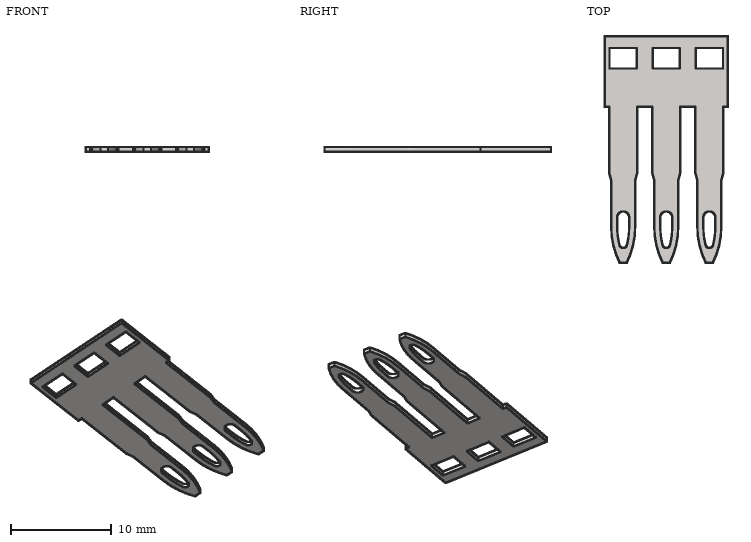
import cadquery as cq
import math

LENGTH = 22.6
WIDTH = 12.3
THICKNESS = 0.5
BACK = LENGTH / 2
HEAD_LENGTH = 7.05

PITCH = 4.3
PRONG_CENTERS = (-PITCH, 0, PITCH)
WINDOW_WIDTH = 2.7
WINDOW_LENGTH = 2.01
WINDOW_FROM_BACK = 1.2

ROOT_WIDTH = 2.82
SHANK_WIDTH = 2.42
ROOT_HALF = ROOT_WIDTH / 2
SHANK_HALF = SHANK_WIDTH / 2
TIP_HALF = 0.36
SHOULDER_START_Y = BACK - 13.63
SHOULDER_END_Y = BACK - 14.37
SHOULDER_RADIUS = 0.8
SELECT_MARGIN = 0.23
NOSE_START_Y = BACK - 19.0
TIP_Y = BACK - LENGTH

NOSE_LENGTH = NOSE_START_Y - TIP_Y
NOSE_INSET = SHANK_HALF - TIP_HALF
NOSE_RADIUS = (NOSE_LENGTH**2 + NOSE_INSET**2) / (2 * NOSE_INSET)

EYE_HALF = 0.59
EYE_TOP_Y = BACK - 17.5
EYE_BOTTOM_Y = BACK - 21.1
EYE_FLANK_RADIUS = NOSE_RADIUS - (SHANK_HALF - EYE_HALF)


def flank_half_width(half_width, radius, y):
    """Half width at y of a flank that curves inward from the nose start."""
    drop = NOSE_START_Y - y
    return half_width - radius + math.sqrt(radius**2 - drop**2)


def prong(x):
    middle_y = (NOSE_START_Y + TIP_Y) / 2
    middle_half = flank_half_width(SHANK_HALF, NOSE_RADIUS, middle_y)
    body = (
        cq.Workplane("XY")
        .moveTo(x - ROOT_HALF, BACK - HEAD_LENGTH)
        .lineTo(x - ROOT_HALF, SHOULDER_START_Y)
        .lineTo(x - SHANK_HALF, SHOULDER_END_Y)
        .lineTo(x - SHANK_HALF, NOSE_START_Y)
        .threePointArc((x - middle_half, middle_y), (x - TIP_HALF, TIP_Y))
        .lineTo(x + TIP_HALF, TIP_Y)
        .threePointArc((x + middle_half, middle_y), (x + SHANK_HALF, NOSE_START_Y))
        .lineTo(x + SHANK_HALF, SHOULDER_END_Y)
        .lineTo(x + ROOT_HALF, SHOULDER_START_Y)
        .lineTo(x + ROOT_HALF, BACK - HEAD_LENGTH)
        .close()
        .extrude(THICKNESS)
    )
    shoulder_corners = cq.selectors.BoxSelector(
        (x - WIDTH, SHOULDER_START_Y - SELECT_MARGIN, -SELECT_MARGIN),
        (x + WIDTH, SHOULDER_START_Y + SELECT_MARGIN, THICKNESS + SELECT_MARGIN),
    )
    return body.edges("|Z").edges(shoulder_corners).fillet(SHOULDER_RADIUS)


def eye(x):
    depth = NOSE_START_Y - EYE_BOTTOM_Y
    center_offset = EYE_FLANK_RADIUS - EYE_HALF
    linear = EYE_FLANK_RADIUS - depth
    constant = EYE_FLANK_RADIUS**2 - center_offset**2 - depth**2
    end_radius = constant / (2 * linear)
    end_center_y = EYE_BOTTOM_Y + end_radius

    tangent_angle = math.atan2(NOSE_START_Y - end_center_y, center_offset)
    end_half = end_radius * math.cos(tangent_angle)
    end_y = end_center_y - end_radius * math.sin(tangent_angle)
    middle_y = (NOSE_START_Y + end_y) / 2
    middle_half = flank_half_width(EYE_HALF, EYE_FLANK_RADIUS, middle_y)
    top_center_y = EYE_TOP_Y - EYE_HALF
    return (
        cq.Workplane("XY")
        .moveTo(x - EYE_HALF, top_center_y)
        .lineTo(x - EYE_HALF, NOSE_START_Y)
        .threePointArc((x - middle_half, middle_y), (x - end_half, end_y))
        .threePointArc((x, EYE_BOTTOM_Y), (x + end_half, end_y))
        .threePointArc((x + middle_half, middle_y), (x + EYE_HALF, NOSE_START_Y))
        .lineTo(x + EYE_HALF, top_center_y)
        .threePointArc((x, EYE_TOP_Y), (x - EYE_HALF, top_center_y))
        .close()
        .extrude(THICKNESS)
    )


def window(x):
    center_y = BACK - WINDOW_FROM_BACK - WINDOW_LENGTH / 2
    return (
        cq.Workplane("XY")
        .center(x, center_y)
        .rect(WINDOW_WIDTH, WINDOW_LENGTH)
        .extrude(THICKNESS)
    )


result = (
    cq.Workplane("XY")
    .center(0, BACK - HEAD_LENGTH / 2)
    .rect(WIDTH, HEAD_LENGTH)
    .extrude(THICKNESS)
)
for prong_x in PRONG_CENTERS:
    result = result.union(prong(prong_x)).cut(eye(prong_x)).cut(window(prong_x))